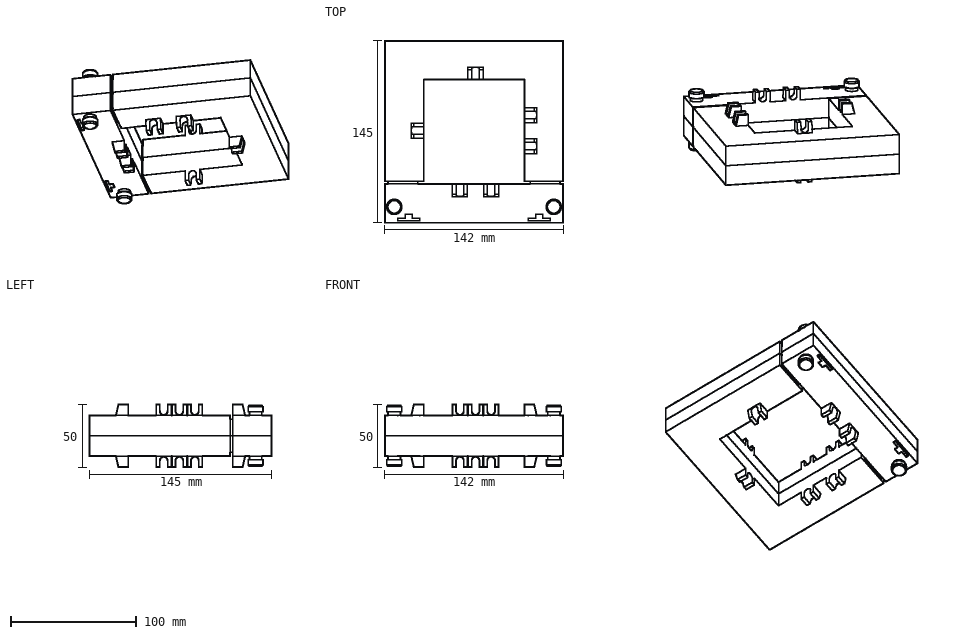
import cadquery as cq

frame_width = 142.0
frame_length = 145.0
total_height = 50.0
limb_width = 31.0
joint_gap = 2.0
half_thickness = 16.25

y_front = -frame_length / 2
y_back = frame_length / 2
y_bar_back = y_front + limb_width
y_yoke_front = y_bar_back + joint_gap
yoke_length = y_back - y_yoke_front
window_width = frame_width - 2 * limb_width
window_back = y_back - limb_width
window_right = window_width / 2

pad_width = 23.75
pad_edge_offset = 2.5
pad_half_height = 13.25
pad_center_x = frame_width / 2 - pad_edge_offset - pad_width / 2

clip_width = 12.0
clip_pitch = 12.4
clip_depth = 10.0
clip_top_depth = 8.0
clip_height = total_height / 2 - half_thickness
clip_slot_width = 6.0
clip_floor = 0.5
clip_center_x = 1.2
clip_center_y = 0.95

screw_side_offset = 7.5
screw_front_offset = 12.75
neck_diameter = 10.0
neck_height = 2.75
head_diameter = 12.0
head_height = 5.25
head_chamfer_height = 1.25
head_chamfer_width = 0.9
screw_x = frame_width / 2 - screw_side_offset
screw_y = y_front + screw_front_offset

recess_depth = 0.5
recess_center_x = 52.0
recess_front_offset = 1.65
recess_base_width = 17.6
recess_base_length = 2.0
recess_stem_width = 5.5
recess_stem_length = 3.1


def block(width, length, height, x_center, y_start):
    """Box standing on the parting plane, starting at y_start."""
    return (
        cq.Workplane("XY")
        .box(width, length, height, centered=(True, False, False))
        .translate((x_center, y_start, 0))
    )


def make_yoke():
    outer = block(frame_width, yoke_length, half_thickness, 0, y_yoke_front)
    window = block(window_width, window_back - y_yoke_front, half_thickness, 0, y_yoke_front)
    return outer.cut(window)


def make_clip(x, y, turn):
    """Slotted clip with its straight face at (x, y); unturned, it extends from there toward +Y."""
    profile = [
        (0, 0),
        (clip_depth, 0),
        (clip_top_depth, clip_height),
        (0, clip_height),
    ]
    body = cq.Workplane("YZ").polyline(profile).close().extrude(clip_width / 2, both=True)
    slot_radius = clip_slot_width / 2
    arc_center_z = clip_floor + slot_radius
    slot = (
        cq.Workplane("XZ")
        .moveTo(-slot_radius, clip_height)
        .lineTo(-slot_radius, arc_center_z)
        .threePointArc((0, clip_floor), (slot_radius, arc_center_z))
        .lineTo(slot_radius, clip_height)
        .close()
        .extrude(-clip_depth)
    )
    clip = body.cut(slot).rotate((0, 0, 0), (0, 0, 1), turn)
    return clip.translate((x, y, half_thickness))


def make_screw(x):
    head_radius = head_diameter / 2
    neck_radius = neck_diameter / 2
    head_top = neck_height + head_height
    return (
        cq.Workplane("XZ")
        .moveTo(0, 0)
        .lineTo(neck_radius, 0)
        .lineTo(neck_radius, neck_height)
        .lineTo(head_radius, neck_height)
        .lineTo(head_radius, head_top - head_chamfer_height)
        .lineTo(head_radius - head_chamfer_width, head_top)
        .lineTo(0, head_top)
        .close()
        .revolve(360, (0, 0, 0), (0, 1, 0))
        .translate((x, screw_y, half_thickness))
    )


def make_recess(x):
    base_y = y_front + recess_front_offset
    base = block(recess_base_width, recess_base_length, recess_depth, x, base_y)
    stem_y = base_y + recess_base_length
    stem = block(recess_stem_width, recess_stem_length, recess_depth, x, stem_y)
    return base.union(stem).translate((0, 0, half_thickness - recess_depth))


def make_upper_half():
    half = make_yoke().union(block(frame_width, limb_width, half_thickness, 0, y_front))

    for side in (-1, 1):
        half = half.union(block(pad_width, joint_gap, pad_half_height, side * pad_center_x, y_bar_back))
        half = half.union(make_screw(side * screw_x))
        half = half.cut(make_recess(side * recess_center_x))

    half = half.union(make_clip(clip_center_x, window_back, 0))
    half = half.union(make_clip(-window_right, clip_center_y, 90))
    for shift in (-clip_pitch, clip_pitch):
        half = half.union(make_clip(clip_center_x + shift, y_bar_back, 180))
        half = half.union(make_clip(window_right, clip_center_y + shift, -90))
    return half


upper_half = make_upper_half()
lower_half = upper_half.mirror("XY")

result = cq.Compound.makeCompound([upper_half.val(), lower_half.val()])